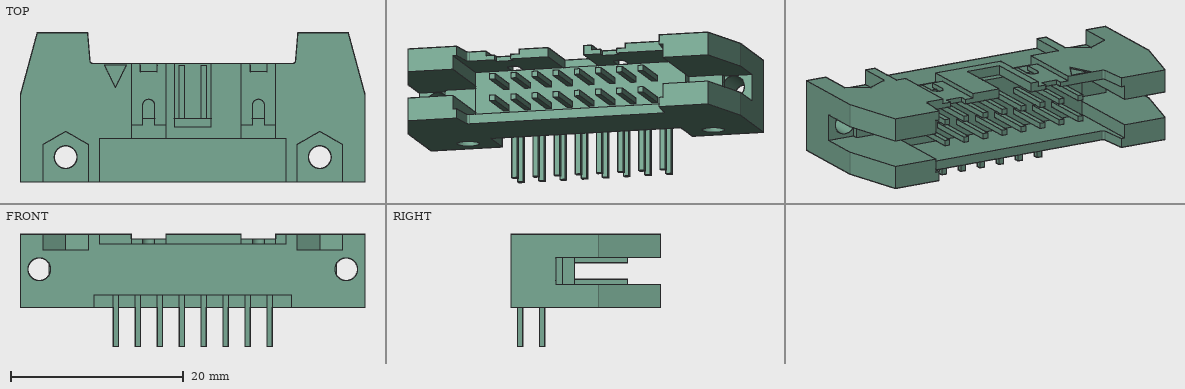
import cadquery as cq
import math


LENGTH = 39.9
HEIGHT = 8.5
WING_DEPTH = 17.3
MOUTH_DEPTH = 13.75
WING_TAPER_START = 10.1
WING_TIP_HALF = 18.0
WING_INNER_TIP_HALF = 12.15
WING_INNER_ROOT_HALF = 11.85
WING_ROOT_RADIUS = 0.3

CAVITY_WALL = 1.1
CAVITY_HALF = 12.6
CAVITY_FLOOR = 7.35

LATCH_HEIGHT = 3.1
LATCH_INNER_FLOOR = 5.95
LATCH_OUTER_FLOOR = 5.2
LATCH_STEP_HALF = 16.65

HOLE_DIAMETER = 2.6
MOUNT_HALF_SPACING = 14.7
MOUNT_Y = 2.9
REAR_HOLE_HALF_SPACING = 17.75
REAR_HOLE_Z = 4.45

NUT_WIDTH = 5.3
NUT_SHOULDER_Y = 4.35
NUT_PEAK_Y = NUT_SHOULDER_Y + NUT_WIDTH / 2 * math.tan(math.radians(30))
NUT_DEPTH = 1.8

TOP_RECESS_LENGTH = 21.6
BOTTOM_RECESS_LENGTH = 22.8
RECESS_WIDTH = 5.05
TOP_RECESS_DEPTH = 1.15
BOTTOM_RECESS_DEPTH = 1.5

PITCH = 2.54
COLUMNS = 8
PIN_SIZE = 0.64
CONTACT_TIP_Y = 13.5
TAIL_LENGTH = 4.5
REAR_TAIL_Y = 1.07
PIN_ROOT = 0.5

WINDOW_WIDTH = 4.25
WINDOW_FLOOR_Y = 6.4

CHANNEL_WIDTH = 4.0
CHANNEL_CENTERS = (-5.1, 7.6)
CHANNEL_DEPTH = 0.55
CHANNEL_STEP_DEPTH = CAVITY_WALL
CHANNEL_STEP_Y = 6.6
SLOT_WIDTH = 1.4
SLOT_END_Y = 9.6
NOTCH_WIDTH = 1.95
NOTCH_LENGTH = 0.95

MARK_CENTER_X = -8.95
MARK_WIDTH = 2.55
MARK_BASE_Y = 13.55
MARK_LENGTH = 2.6
MARK_DEPTH = 0.15

MID_Z = HEIGHT / 2
SIDES = (-1, 1)


def box(x_range, y_range, z_range):
    """Box between pairs of limits along X, Y and Z."""
    limits = (x_range, y_range, z_range)
    sizes = [high - low for low, high in limits]
    corner = cq.Vector(*[low for low, high in limits])
    return cq.Workplane("XY").box(*sizes, centered=False).translate(corner)


def span(center, width):
    """Limits of a width centred on a position."""
    return (center - width / 2, center + width / 2)


def prism(points, z_range):
    """Closed polygon in XY extruded between two heights."""
    bottom, top = z_range
    return cq.Workplane("XY").workplane(offset=bottom).polyline(points).close().extrude(top - bottom)


def below_top(depth):
    """Height limits reaching down from the top face."""
    return (HEIGHT - depth, HEIGHT)


def housing_block():
    right_half = [
        (LENGTH / 2, 0),
        (LENGTH / 2, WING_TAPER_START),
        (WING_TIP_HALF, WING_DEPTH),
        (WING_INNER_TIP_HALF, WING_DEPTH),
        (WING_INNER_ROOT_HALF, MOUTH_DEPTH),
    ]
    left_half = [(-x, y) for x, y in reversed(right_half)]
    block = prism(right_half + left_half, (0, HEIGHT))
    for side in SIDES:
        root = cq.selectors.NearestToPointSelector((side * WING_INNER_ROOT_HALF, MOUTH_DEPTH, MID_Z))
        block = block.edges("|Z").edges(root).fillet(WING_ROOT_RADIUS)
    return block


def mating_cavity():
    return box(
        (-CAVITY_HALF, CAVITY_HALF),
        (CAVITY_FLOOR, WING_DEPTH),
        (CAVITY_WALL, HEIGHT - CAVITY_WALL),
    )


def latch_slots():
    z_range = span(MID_Z, LATCH_HEIGHT)
    inner = box((CAVITY_HALF, LENGTH / 2), (LATCH_INNER_FLOOR, WING_DEPTH), z_range)
    outer = box((LATCH_STEP_HALF, LENGTH / 2), (LATCH_OUTER_FLOOR, WING_DEPTH), z_range)
    right_slot = inner.union(outer)
    return right_slot.union(right_slot.mirror("YZ"))


def mounting_hole(side):
    """Vertical hole with a nut pocket open to the rear face."""
    x = side * MOUNT_HALF_SPACING
    left, right = span(x, NUT_WIDTH)
    outline = [
        (left, 0),
        (right, 0),
        (right, NUT_SHOULDER_Y),
        (x, NUT_PEAK_Y),
        (left, NUT_SHOULDER_Y),
    ]
    pocket = prism(outline, below_top(NUT_DEPTH))
    hole = cq.Workplane("XY").center(x, MOUNT_Y).circle(HOLE_DIAMETER / 2).extrude(HEIGHT)
    return pocket.union(hole)


def rear_hole(side):
    """Hole from the rear face into the latch slot."""
    return (
        cq.Workplane("XZ")
        .center(side * REAR_HOLE_HALF_SPACING, REAR_HOLE_Z)
        .circle(HOLE_DIAMETER / 2)
        .extrude(-LATCH_OUTER_FLOOR)
    )


def rear_recesses():
    top = box(span(0, TOP_RECESS_LENGTH), (0, RECESS_WIDTH), below_top(TOP_RECESS_DEPTH))
    bottom = box(span(0, BOTTOM_RECESS_LENGTH), (0, RECESS_WIDTH), (0, BOTTOM_RECESS_DEPTH))
    return top.union(bottom)


def polarising_window():
    return box(span(0, WINDOW_WIDTH), (WINDOW_FLOOR_Y, MOUTH_DEPTH), below_top(CAVITY_WALL))


def channel(x):
    """Stepped channel with a round-ended slot and a notch at the mouth."""
    shallow = box(span(x, CHANNEL_WIDTH), (RECESS_WIDTH, MOUTH_DEPTH), below_top(CHANNEL_DEPTH))
    deep = box(span(x, CHANNEL_WIDTH), (RECESS_WIDTH, CHANNEL_STEP_Y), below_top(CHANNEL_STEP_DEPTH))
    radius = SLOT_WIDTH / 2
    arc_y = SLOT_END_Y - radius
    slot = box(span(x, SLOT_WIDTH), (CHANNEL_STEP_Y, arc_y), below_top(CHANNEL_STEP_DEPTH))
    slot_end = (
        cq.Workplane("XY")
        .workplane(offset=HEIGHT - CHANNEL_STEP_DEPTH)
        .center(x, arc_y)
        .circle(radius)
        .extrude(CHANNEL_STEP_DEPTH)
    )
    notch = box(span(x, NOTCH_WIDTH), (MOUTH_DEPTH - NOTCH_LENGTH, MOUTH_DEPTH), below_top(CAVITY_WALL))
    return shallow.union(deep).union(slot).union(slot_end).union(notch)


def pin_one_mark():
    left, right = span(MARK_CENTER_X, MARK_WIDTH)
    tip = (MARK_CENTER_X, MARK_BASE_Y - MARK_LENGTH)
    return prism([(left, MARK_BASE_Y), tip, (right, MARK_BASE_Y)], below_top(MARK_DEPTH))


def contact_column(x):
    """Two contacts in the cavity and their two solder tails."""
    width = span(x, PIN_SIZE)
    pins = cq.Workplane("XY")
    for row in SIDES:
        blade_z = span(MID_Z + row * PITCH / 2, PIN_SIZE)
        pins = pins.add(box(width, (CAVITY_FLOOR - PIN_ROOT, CONTACT_TIP_Y), blade_z))
    for tail_y in (REAR_TAIL_Y, REAR_TAIL_Y + PITCH):
        tail_z = (-TAIL_LENGTH, BOTTOM_RECESS_DEPTH + PIN_ROOT)
        pins = pins.add(box(width, span(tail_y, PIN_SIZE), tail_z))
    return pins.combine()


housing = housing_block()
housing = housing.cut(mating_cavity()).cut(latch_slots()).cut(rear_recesses())
for end in SIDES:
    housing = housing.cut(mounting_hole(end)).cut(rear_hole(end))
housing = housing.cut(polarising_window())
for channel_x in CHANNEL_CENTERS:
    housing = housing.cut(channel(channel_x))
housing = housing.cut(pin_one_mark())

result = housing
for column in range(COLUMNS):
    result = result.union(contact_column((column - (COLUMNS - 1) / 2) * PITCH))